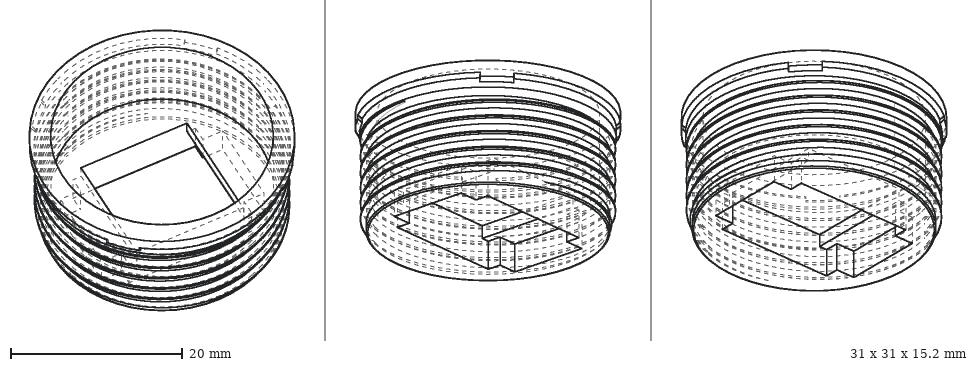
import cadquery as cq

height = 15.2
flange_radius = 15.5
collar_radius = 15.0
root_radius = 14.245
bottom_chamfer = 0.2

flange_bottom = 13.67
flange_chamfer = flange_radius - collar_radius
collar_bottom = 12.0
collar_cone = collar_bottom - (collar_radius - root_radius)

tab_count = 4
tab_width = 3.97
tab_drop = 0.5

bore_radius = 13.005
floor_height = 5.18
opening_side = 14.0

lip_thickness = 1.6
shallow_depth = 1.1
deep_depth = 3.72
deep_width = 10.35

pitch = 2.0
crest_radius = 14.9
crest_width = 0.25
thread_root_width = 1.12
thread_overlap = 0.15
thread_start = -0.51
thread_turns = 6.25
runout_height = 0.93


def make_body():
    """Threaded core, collar and flange as one turned profile."""
    return (
        cq.Workplane("XZ")
        .polyline([
            (0, 0),
            (root_radius - bottom_chamfer, 0),
            (root_radius, bottom_chamfer),
            (root_radius, collar_cone),
            (collar_radius, collar_bottom),
            (collar_radius, flange_bottom - flange_chamfer),
            (flange_radius, flange_bottom),
            (flange_radius, height),
            (0, height),
        ])
        .close()
        .revolve(360, (0, 0), (0, 1))
    )


def make_tabs():
    """Short lengths of the flange edge carried lower, on the diagonals."""
    tab_bottom = flange_bottom - tab_drop
    ring = (
        cq.Workplane("XZ")
        .polyline([
            (root_radius, tab_bottom - flange_chamfer),
            (collar_radius, tab_bottom - flange_chamfer),
            (flange_radius, tab_bottom),
            (flange_radius, height),
            (root_radius, height),
        ])
        .close()
        .revolve(360, (0, 0), (0, 1))
    )
    blocks = (
        cq.Workplane("XY")
        .polarArray(flange_radius, 45, 360, tab_count)
        .rect(2 * (flange_radius - bore_radius), tab_width)
        .extrude(height)
    )
    return ring.intersect(blocks)


def make_thread():
    """Trapezoidal helical ridge, trimmed by a cone at its lower end."""
    base_radius = root_radius - thread_overlap
    flank_slope = (thread_root_width - crest_width) / 2 / (crest_radius - root_radius)
    half_crest = crest_width / 2
    half_base = half_crest + flank_slope * (crest_radius - base_radius)
    path = cq.Wire.makeHelix(
        pitch, pitch * thread_turns, base_radius, center=cq.Vector(0, 0, thread_start)
    )
    ridge = (
        cq.Workplane("XZ")
        .polyline([
            (base_radius, thread_start - half_base),
            (crest_radius, thread_start - half_crest),
            (crest_radius, thread_start + half_crest),
            (base_radius, thread_start + half_base),
        ])
        .close()
        .sweep(cq.Workplane(obj=path), isFrenet=True)
    )
    ridge_top = flange_bottom - flange_chamfer
    envelope = (
        cq.Workplane("XZ")
        .polyline([
            (0, runout_height - root_radius),
            (collar_radius, runout_height + collar_radius - root_radius),
            (collar_radius, ridge_top),
            (0, ridge_top),
        ])
        .close()
        .revolve(360, (0, 0), (0, 1))
    )
    return ridge.intersect(envelope)


def make_recesses():
    """Stepped pockets below the lip, open downward, alike on both Y sides."""
    recess_height = floor_height - lip_thickness
    shallow = cq.Workplane("XY").rect(opening_side, opening_side + 2 * shallow_depth).extrude(recess_height)
    deep = cq.Workplane("XY").rect(deep_width, opening_side + 2 * deep_depth).extrude(recess_height)
    return shallow.union(deep)


bore = cq.Workplane("XY").workplane(offset=floor_height).circle(bore_radius).extrude(height - floor_height)
opening = cq.Workplane("XY").rect(opening_side, opening_side).extrude(height)

result = (
    make_body()
    .union(make_tabs())
    .union(make_thread())
    .cut(bore)
    .cut(opening)
    .cut(make_recesses())
)